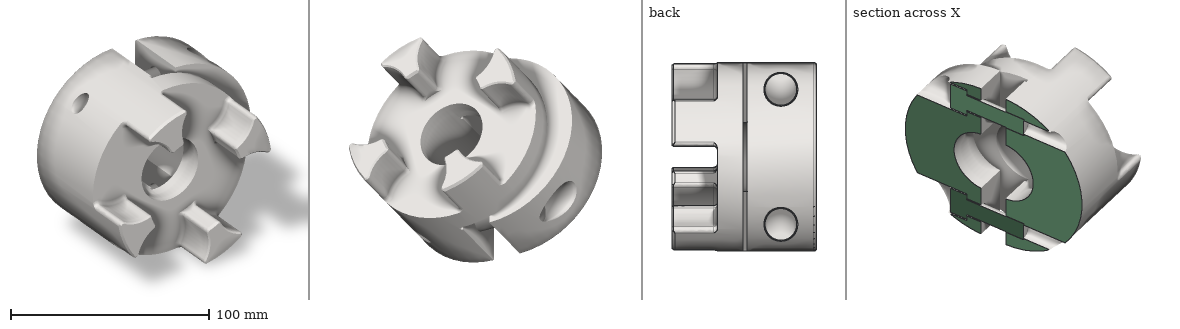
import cadquery as cq

overall_width = 108.0
outer_d = 95.0
outer_r = outer_d / 2
bore_d = 35.0
hub_length = 50.0
total_length = 73.0
rim_round = 1.5
bore_chamfer = 1.5

clamp_length = 35.1
groove_width = 1.9
groove_depth = 1.1
half_gap = 1.0
cap_shift = overall_width - outer_d

screw_x = 18.0
screw_z = 34.0
screw_d = 10.0
screw_length = 35.0
head_d = 16.0
head_length = 10.0
pilot_d = 8.5
clearance_d = 11.0
counterbore_d = 17.1
head_seat = 10.0
seat_y = cap_shift + head_seat
tip_y = seat_y - screw_length

jaw_count = 4
first_jaw_angle = 22.5
jaw_inner_r = 28.0
flank_r = 18.5
flank_axis_out = 28.1
flank_axis_side = 22.9
jaw_blank_width = 34.6
edge_round = 1.9
root_round = 1.9
tip_chamfer_length = 1.5
tip_chamfer_depth = 0.9
flank_chamfer = 0.8


def x_cylinder(diameter, x_start, x_end):
    """Solid cylinder on the X axis."""
    return cq.Workplane("YZ", origin=(x_start, 0, 0)).circle(diameter / 2).extrude(x_end - x_start)


def screw_cylinder(diameter, y_start, y_end, z):
    """Solid cylinder along Y on the screw axis at height z."""
    plane = cq.Plane(origin=(screw_x, y_start, z), xDir=(1, 0, 0), normal=(0, 1, 0))
    return cq.Workplane(plane).circle(diameter / 2).extrude(y_end - y_start)


def block(x_start, x_end, y_start, y_end, height):
    """Box between the given X and Y limits, centred on Z = 0."""
    box = cq.Workplane("XY").box(x_end - x_start, y_end - y_start, height, centered=(False, False, True))
    return box.translate((x_start, y_start, 0))


def clamp_disc(length):
    """Bored disc with a rounded rim and a chamfered bore at the clamping end."""
    disc = x_cylinder(outer_d, 0, length).faces("<X").edges().fillet(rim_round)
    disc = disc.cut(x_cylinder(bore_d, 0, length))
    return disc.faces("<X").edges(cq.selectors.RadiusNthSelector(0)).chamfer(bore_chamfer)


def jaw_ring():
    """Plain ring that bounds the jaws inside and outside."""
    return x_cylinder(outer_d, hub_length, total_length).cut(
        x_cylinder(2 * jaw_inner_r, hub_length, total_length)
    )


def chamfered_jaw_ring():
    """The same ring with its outer and inner edge chamfered at the tip end."""
    chamfer_start = total_length - tip_chamfer_length
    profile = [
        (hub_length, jaw_inner_r),
        (chamfer_start, jaw_inner_r),
        (total_length, jaw_inner_r + tip_chamfer_depth),
        (total_length, outer_r - tip_chamfer_depth),
        (chamfer_start, outer_r),
        (hub_length, outer_r),
    ]
    return cq.Workplane("XY").polyline(profile).close().revolve(360, (0, 0, 0), (1, 0, 0))


def make_jaw():
    """One jaw on the -Y side, with its root rounds, standing on the hub face."""
    jaw = block(hub_length, total_length, -outer_r, 0, jaw_blank_width)
    for side in (-1, 1):
        axis_point = (-flank_axis_out, side * flank_axis_side)
        flank = cq.Workplane("YZ", origin=(hub_length, 0, 0)).center(*axis_point).circle(flank_r)
        jaw = jaw.cut(flank.extrude(total_length - hub_length))
    jaw = jaw.intersect(jaw_ring())

    jaw = jaw.edges("|X").fillet(edge_round)
    jaw = jaw.faces(">X").edges().chamfer(flank_chamfer)

    base = block(hub_length - root_round, hub_length, -2 * outer_r, 0, 2 * outer_d)
    footed = base.union(jaw)
    base_top = footed.faces(">X[-2]")
    root_edges = base_top.wires(cq.selectors.LengthNthSelector(0)).edges()
    footed = root_edges.fillet(root_round).cut(base)
    return footed.intersect(chamfered_jaw_ring())


def make_hub():
    """Half clamp, flange and jaws in one piece."""
    hub = clamp_disc(hub_length)

    hub = hub.cut(block(0, clamp_length, -half_gap, outer_r, outer_d))
    hub = hub.cut(block(clamp_length, clamp_length + groove_width, -half_gap - groove_depth, outer_r, outer_d))

    jaw = make_jaw()
    for index in range(jaw_count):
        angle = first_jaw_angle + index * 360 / jaw_count
        hub = hub.union(jaw.rotate((0, 0, 0), (1, 0, 0), angle))

    for z in (-screw_z, screw_z):
        hub = hub.cut(screw_cylinder(screw_d, tip_y, 0, z))
        hub = hub.cut(screw_cylinder(pilot_d, -outer_r, tip_y, z))
    return hub


def make_cap():
    """Loose half of the clamp, with counterbored screw holes."""
    cap = clamp_disc(clamp_length).intersect(block(0, clamp_length, half_gap, outer_r, outer_d))
    cap = cap.translate((0, cap_shift, 0))
    for z in (-screw_z, screw_z):
        cap = cap.cut(screw_cylinder(clearance_d, cap_shift, seat_y, z))
        cap = cap.cut(screw_cylinder(counterbore_d, seat_y, cap_shift + outer_r, z))
    return cap


def make_screw(z):
    """Screw with a cylindrical head that rests on the seat in the cap."""
    shank = screw_cylinder(screw_d, tip_y, seat_y, z)
    return shank.union(screw_cylinder(head_d, seat_y, seat_y + head_length, z))


hub = make_hub()
cap = make_cap()
screws = [make_screw(z) for z in (-screw_z, screw_z)]

result = cq.Compound.makeCompound([hub.val(), cap.val(), *[screw.val() for screw in screws]])